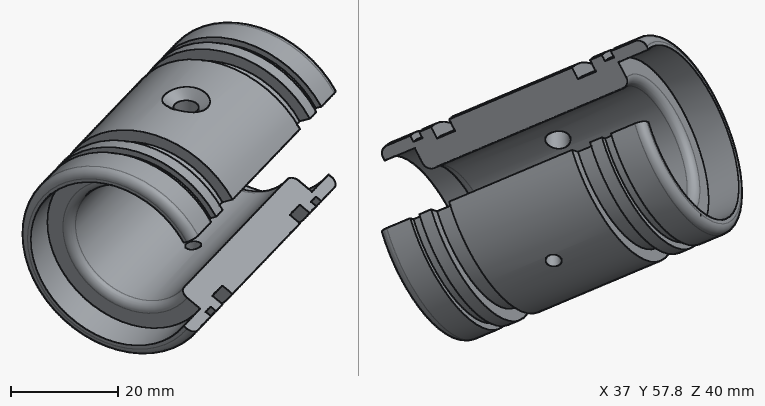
import cadquery as cq
import math

length = 57.75
outer_radius = 20.0
bore_radius = 12.55
edge_fillet = 1.75
clearance = 0.6

recess_radius = 17.5
recess_depth = 6.6

narrow_groove = (6.95, 1.95, 18.65)
wide_groove = (11.5, 3.9, 17.5)

opening_angle = 60.0
opening_apex_x = -1.4

top_hole_radius = 2.35
flare_depth = 1.9
flare_spread_x = 3.0
flare_spread_y = 1.75
bottom_hole_radius = 1.5
bottom_hole_x = 1.5


def cylinder(radius, start, depth):
    """Solid cylinder on the Y axis, running from y = start to y = start + depth."""
    return cq.Workplane("XZ", origin=(0, start, 0)).circle(radius).extrude(-depth)


def ring_groove(start, width, floor_radius):
    """Ring of material to remove from the outer wall."""
    return cylinder(outer_radius + clearance, start, width).cut(cylinder(floor_radius, start, width))


def make_sleeve():
    """Sleeve with recessed ends, rounded outer rims and rounded bore rims."""
    half = length / 2
    seat = half - recess_depth
    body = cylinder(outer_radius, -half, length).faces("<Y or >Y").edges().fillet(edge_fillet)
    web = cylinder(recess_radius, -seat, 2 * seat).cut(cylinder(bore_radius, -seat, 2 * seat))
    bore_rims = cq.selectors.RadiusNthSelector(0)
    web = web.faces("<Y or >Y").edges(bore_rims).fillet(edge_fillet)
    return body.cut(cylinder(recess_radius, -half, length)).union(web)


def cut_top_hole(body):
    """Hole in the +Z wall with a flared mouth, wider around the sleeve than along it."""
    drill = cq.Workplane("XY").circle(top_hole_radius).extrude(outer_radius + clearance)
    flare_bottom = outer_radius - flare_depth
    flare_height = flare_depth + clearance
    growth = flare_height / flare_depth
    mouth_x = top_hole_radius + flare_spread_x * growth
    mouth_y = top_hole_radius + flare_spread_y * growth
    flare = (
        cq.Workplane("XY", origin=(0, 0, flare_bottom))
        .circle(top_hole_radius)
        .workplane(offset=flare_height)
        .ellipse(mouth_x, mouth_y)
        .loft(ruled=True)
    )
    return body.cut(drill).cut(flare)


def cut_bottom_hole(body):
    """Small plain hole in the -Z wall, offset towards the opening."""
    drill = cq.Workplane("XY").center(bottom_hole_x, 0).circle(bottom_hole_radius)
    return body.cut(drill.extrude(-outer_radius - clearance))


def cut_grooves(body):
    """Same pair of grooves near each end."""
    for distance, width, floor_radius in (narrow_groove, wide_groove):
        for start in (-length / 2 + distance, length / 2 - distance - width):
            body = body.cut(ring_groove(start, width, floor_radius))
    return body


def cut_opening(body):
    """Wedge with its point just behind the axis, opening the sleeve towards +X."""
    reach = 2 * outer_radius
    rise = reach * math.tan(math.radians(opening_angle / 2))
    profile = [(0, 0), (reach, rise), (reach, -rise)]
    wedge = cq.Workplane("XZ", origin=(opening_apex_x, 0, 0)).polyline(profile).close()
    return body.cut(wedge.extrude(length, both=True))


sleeve = make_sleeve()
sleeve = cut_top_hole(sleeve)
sleeve = cut_bottom_hole(sleeve)
sleeve = cut_grooves(sleeve)
result = cut_opening(sleeve)